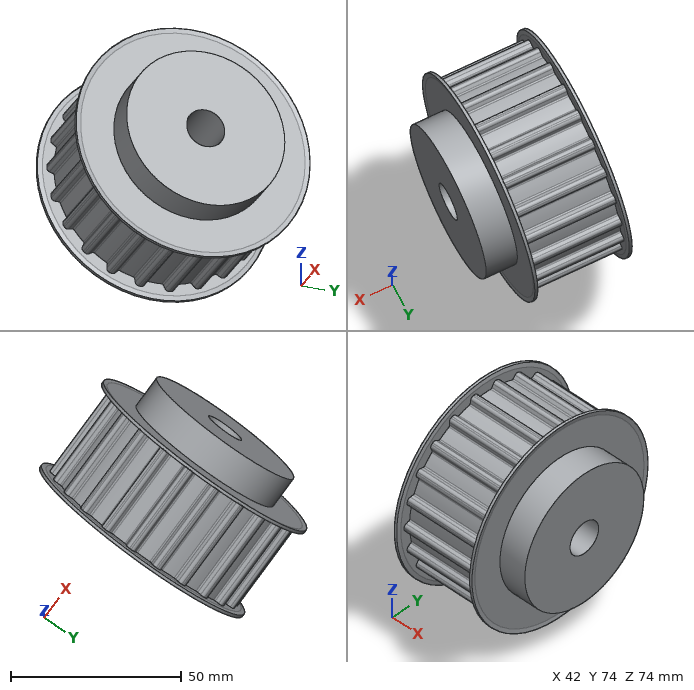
import cadquery as cq
import math

pulley_width = 32.0
hub_length = 10.0
hub_diameter = 50.0
bore_diameter = 12.0

tooth_count = 22
tip_radius = 34.1
tooth_height = 2.3
flank_angle = 18.0
tip_half_width = 1.15
tip_rounding = 1.2
root_rounding = 0.55
root_overlap = 1.0

flange_diameter = 74.0
flange_thickness = 1.0
bend_radius = 35.5
bend_offset = 0.25

floor_radius = tip_radius - tooth_height
flange_radius = flange_diameter / 2
total_length = pulley_width + hub_length
body_start = bend_offset
body_end = pulley_width - bend_offset
body_length = body_end - body_start
tooth_pitch_angle = 360 / tooth_count
edge_tolerance = 0.01


def cylinder(radius, start, length):
    return cq.Workplane("YZ").workplane(offset=start).circle(radius).extrude(length)


def tooth():
    """One tooth pointing along +Y, sunk into the core so that the two overlap."""
    sunk_radius = floor_radius - root_overlap
    base_half_width = tip_half_width + (tip_radius - sunk_radius) * math.tan(math.radians(flank_angle))
    return (
        cq.Workplane("YZ")
        .workplane(offset=body_start)
        .moveTo(sunk_radius, -base_half_width)
        .lineTo(tip_radius, -tip_half_width)
        .lineTo(tip_radius, tip_half_width)
        .lineTo(sunk_radius, base_half_width)
        .close()
        .extrude(body_length)
        .edges("|X and >Y")
        .fillet(tip_rounding)
    )


def is_root_edge(edge):
    centre = edge.Center()
    return math.isclose(math.hypot(centre.y, centre.z), floor_radius, abs_tol=edge_tolerance)


def toothed_body():
    body = cylinder(floor_radius, body_start, body_length)
    single_tooth = tooth()
    for index in range(tooth_count):
        angle = index * tooth_pitch_angle
        body = body.union(single_tooth.rotate((0, 0, 0), (1, 0, 0), angle))
    root_edges = body.edges("|X").filter(is_root_edge)
    return root_edges.fillet(root_rounding)


def flange():
    """Flange at the start of the pulley, its rim bent towards -X."""
    inner_face = bend_offset + flange_thickness
    return (
        cq.Workplane("XY")
        .moveTo(bend_offset, 0)
        .lineTo(bend_offset, bend_radius)
        .lineTo(0, flange_radius)
        .lineTo(flange_thickness, flange_radius)
        .lineTo(inner_face, bend_radius)
        .lineTo(inner_face, 0)
        .close()
        .revolve(360, (0, 0, 0), (1, 0, 0))
    )


near_flange = flange()
far_flange = near_flange.mirror("YZ").translate((pulley_width, 0, 0))
hub_start = body_end - flange_thickness
hub = cylinder(hub_diameter / 2, hub_start, total_length - hub_start)
bore = cylinder(bore_diameter / 2, 0, total_length)

result = toothed_body().union(near_flange).union(far_flange).union(hub).cut(bore)